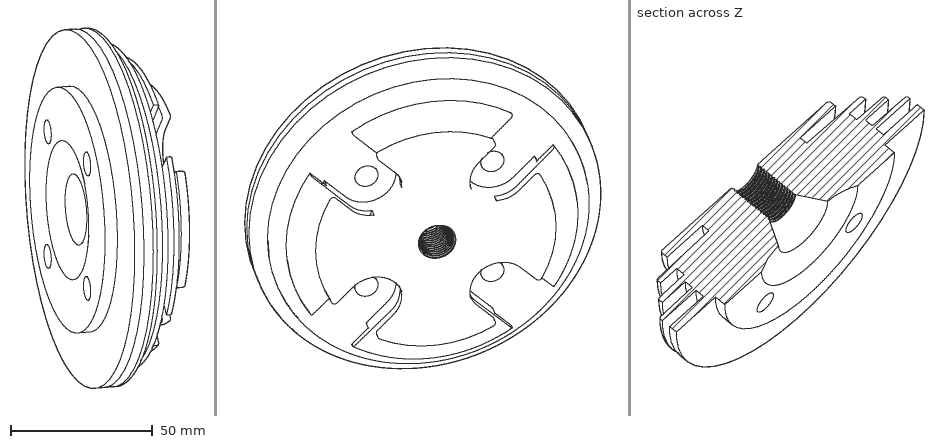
import cadquery as cq
import math


TOLERANCE = 0.01

OVERALL_DEPTH = 31.8
SPIGOT_RADIUS = 87.0 / 2
SPIGOT_DEPTH = 4.6
FLANGE_RADIUS = 127.0 / 2
FLANGE_BACK = 8.0
CORE_RADIUS = 92.5 / 2
UPPER_CORE_RADIUS = 44.3
NECK_RADIUS = 25.1
FIN_EDGE_ROUND = 1.0
FIN_TAPER = 1.0

LOWER_FIN = (63.5, 11.4, 13.5, CORE_RADIUS)
MIDDLE_FIN = (116.0 / 2, 16.6, 19.2, UPPER_CORE_RADIUS)
UPPER_FIN = (52.6, 22.6, 25.3, NECK_RADIUS)

CAP_RADIUS = 43.2
CAP_THICKNESS = 3.4
CAP_FRONT = OVERALL_DEPTH - CAP_THICKNESS
CAP_CORNER_ROUND = 1.3
CAP_EDGE_ROUND = 1.1

BOLT_OFFSET = 22.7
BOLT_HOLE_DIAMETER = 8.4
BOLT_CIRCLE_RADIUS = math.hypot(BOLT_OFFSET, BOLT_OFFSET)
SLOT_HALF_WIDTH = 10.7
SLOT_FLOOR = MIDDLE_FIN[2]

BOWL_RADIUS = 24.6
BOWL_DEPTH = 3.2
BOWL_ARC_RADIUS = 28.0
THROAT_RADIUS = 12.6
THREAD_START = 13.3
THREAD_MINOR_RADIUS = 12.6 / 2
THREAD_MAJOR_RADIUS = 6.7
THREAD_PITCH = 1.3


def disc(radius, front, back):
    """Cylinder about Y between two Y positions."""
    return cq.Workplane("XZ", origin=(0, front, 0)).circle(radius).extrude(front - back)


def fin(outer_radius, front, root_back, root_radius):
    """Ring with a gently sloping back face and a rounded back rim."""
    slope = math.radians(FIN_TAPER)
    rim_back = root_back - (outer_radius - root_radius) * math.tan(slope)
    ring = (
        cq.Workplane("XY")
        .moveTo(0, front)
        .lineTo(outer_radius, front)
        .lineTo(outer_radius, rim_back)
        .lineTo(root_radius, root_back)
        .lineTo(0, root_back)
        .close()
        .revolve(360, (0, 0, 0), (0, 1, 0))
    )
    rim = ring.edges().filter(lambda edge: abs(edge.Center().y - rim_back) < TOLERANCE)
    return rim.fillet(FIN_EDGE_ROUND)


def clearance_slots(front, back):
    """Four diagonal slots, round around each bolt and open outwards."""
    plane = cq.Workplane("XZ", origin=(0, front, 0))
    bolt_end = plane.center(BOLT_CIRCLE_RADIUS, 0).circle(SLOT_HALF_WIDTH).extrude(front - back)
    channel = (
        plane.center(BOLT_CIRCLE_RADIUS + FLANGE_RADIUS / 2, 0)
        .rect(FLANGE_RADIUS, 2 * SLOT_HALF_WIDTH)
        .extrude(front - back)
    )
    one_slot = bolt_end.union(channel)
    slots = cq.Workplane("XY")
    for angle in (45, 135, 225, 315):
        slots = slots.add(one_slot.rotate((0, 0, 0), (0, 1, 0), angle))
    return slots.combine()


def chamber():
    """Domed bowl, conical throat and grooved plug hole as one cutter."""
    outline = (
        cq.Workplane("XY")
        .lineTo(BOWL_RADIUS, 0)
        .radiusArc((THROAT_RADIUS, BOWL_DEPTH), -BOWL_ARC_RADIUS)
        .lineTo(THREAD_MAJOR_RADIUS, THREAD_START)
    )
    step = THREAD_PITCH / 4
    thread_count = int((OVERALL_DEPTH - THREAD_START) / THREAD_PITCH)
    for index in range(thread_count):
        start = THREAD_START + index * THREAD_PITCH
        outline = (
            outline.lineTo(THREAD_MAJOR_RADIUS, start + step)
            .lineTo(THREAD_MINOR_RADIUS, start + 2 * step)
            .lineTo(THREAD_MINOR_RADIUS, start + 3 * step)
            .lineTo(THREAD_MAJOR_RADIUS, start + 4 * step)
        )
    return (
        outline.lineTo(THREAD_MAJOR_RADIUS, OVERALL_DEPTH)
        .lineTo(0, OVERALL_DEPTH)
        .close()
        .revolve(360, (0, 0, 0), (0, 1, 0))
    )


def cap_plate():
    """Slotted back plate with rounded slot mouths and a rounded back outline."""
    plate = disc(CAP_RADIUS, CAP_FRONT, OVERALL_DEPTH)
    plate = plate.cut(clearance_slots(CAP_FRONT, OVERALL_DEPTH))
    mouths = plate.edges("|Y").filter(
        lambda edge: math.hypot(edge.Center().x, edge.Center().z) > CAP_RADIUS - TOLERANCE
    )
    plate = mouths.fillet(CAP_CORNER_ROUND)
    return plate.faces(">Y").edges().fillet(CAP_EDGE_ROUND)


body = disc(SPIGOT_RADIUS, 0, SPIGOT_DEPTH)
body = body.union(disc(FLANGE_RADIUS, SPIGOT_DEPTH, FLANGE_BACK))
body = body.union(disc(CORE_RADIUS, FLANGE_BACK, MIDDLE_FIN[1]))
body = body.union(disc(UPPER_CORE_RADIUS, MIDDLE_FIN[1], UPPER_FIN[1]))
body = body.union(disc(NECK_RADIUS, UPPER_FIN[1], CAP_FRONT))
for fin_sizes in (LOWER_FIN, MIDDLE_FIN, UPPER_FIN):
    body = body.union(fin(*fin_sizes))

body = body.cut(clearance_slots(SLOT_FLOOR, OVERALL_DEPTH))
body = body.union(cap_plate())

bolt_holes = (
    cq.Workplane("XZ")
    .rect(2 * BOLT_OFFSET, 2 * BOLT_OFFSET, forConstruction=True)
    .vertices()
    .circle(BOLT_HOLE_DIAMETER / 2)
    .extrude(-OVERALL_DEPTH)
)

result = body.cut(bolt_holes).cut(chamber())